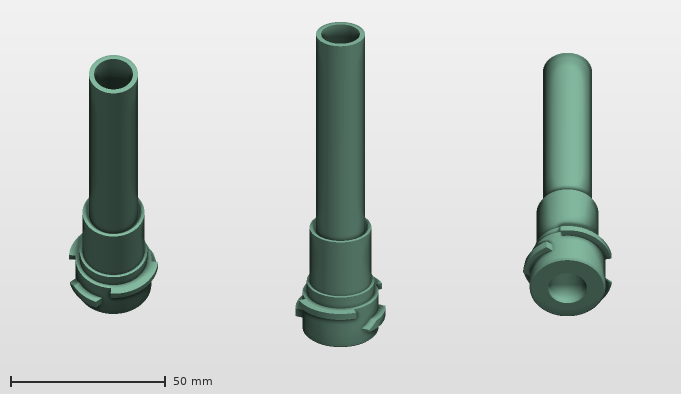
import cadquery as cq
import math

TOTAL_HEIGHT = 109.9
TUBE_DIAMETER = 15.8
TUBE_BORE = 12.5

BASE_DIAMETER = 24.5
BASE_TOP = 14.0
BASE_CHAMFER = 0.5
COLLAR_DIAMETER = 21.9
COLLAR_TOP = 18.0
SLEEVE_DIAMETER = 20.0
SLEEVE_TOP = 38.0
SLEEVE_MOUTH_DIAMETER = 18.0
MOUTH_DEPTH = 1.1

LUG_DIAMETER = 29.0
FLANGE_THICKNESS = 2.2
FLANGE_HALF_ANGLE = 44
RAMP_LUG_WIDTH = 13.0
RAMP_LUG_BOTTOM = 5.3
RAMP_LUG_HEIGHT = 3.0
RAMP_RUN = 3.3
RAMP_RISE = 2.2


def ring(outer_diameter, inner_diameter, bottom, height):
    """Ring around the Z axis."""
    return (
        cq.Workplane("XY")
        .workplane(offset=bottom)
        .circle(outer_diameter / 2)
        .circle(inner_diameter / 2)
        .extrude(height)
    )


def make_tube():
    """Plain tube running through the whole coupling."""
    return ring(TUBE_DIAMETER, TUBE_BORE, 0, TOTAL_HEIGHT)


def make_stepped_body():
    """Base, collar and sleeve, bored for the tube and flared at the mouth of the sleeve."""
    tube_radius = TUBE_DIAMETER / 2
    base_radius = BASE_DIAMETER / 2
    collar_radius = COLLAR_DIAMETER / 2
    sleeve_radius = SLEEVE_DIAMETER / 2
    profile = [
        (tube_radius, 0),
        (base_radius - BASE_CHAMFER, 0),
        (base_radius, BASE_CHAMFER),
        (base_radius, BASE_TOP),
        (collar_radius, BASE_TOP),
        (collar_radius, COLLAR_TOP),
        (sleeve_radius, COLLAR_TOP),
        (sleeve_radius, SLEEVE_TOP),
        (SLEEVE_MOUTH_DIAMETER / 2, SLEEVE_TOP),
        (tube_radius, SLEEVE_TOP - MOUTH_DEPTH),
    ]
    return cq.Workplane("XZ").polyline(profile).close().revolve(360, (0, 0), (0, 1))


def make_flange_lugs():
    """Two equal flange sectors, centred on -X and +X."""
    bottom = BASE_TOP - FLANGE_THICKNESS
    reach = LUG_DIAMETER
    spread = reach * math.tan(math.radians(FLANGE_HALF_ANGLE))
    sectors = (
        cq.Workplane("XY")
        .workplane(offset=bottom)
        .polyline([(0, 0), (reach, -spread), (reach, spread)])
        .close()
        .polyline([(0, 0), (-reach, spread), (-reach, -spread)])
        .close()
        .extrude(FLANGE_THICKNESS)
    )
    return ring(LUG_DIAMETER, COLLAR_DIAMETER, bottom, FLANGE_THICKNESS).intersect(sectors)


def make_ramp_lug():
    """Bayonet lug on the -Y side, with a ramp at its -X end."""
    half_width = RAMP_LUG_WIDTH / 2
    lug_top = RAMP_LUG_BOTTOM + RAMP_LUG_HEIGHT
    outline = [
        (-half_width, RAMP_LUG_BOTTOM),
        (half_width, RAMP_LUG_BOTTOM),
        (half_width, lug_top),
        (-half_width + RAMP_RUN, lug_top),
        (-half_width, lug_top - RAMP_RISE),
    ]
    block = cq.Workplane("XZ").polyline(outline).close().extrude(LUG_DIAMETER / 2)
    envelope = ring(LUG_DIAMETER, COLLAR_DIAMETER, RAMP_LUG_BOTTOM, RAMP_LUG_HEIGHT)
    return block.intersect(envelope)


def make_coupling():
    """Stepped body with its flange sectors and two opposite bayonet lugs."""
    coupling = make_stepped_body().union(make_flange_lugs())
    for angle in (0, 180):
        coupling = coupling.union(make_ramp_lug().rotate((0, 0, 0), (0, 0, 1), angle))
    return coupling


tube = make_tube()
coupling = make_coupling()

result = cq.Compound.makeCompound([tube.val(), coupling.val()])